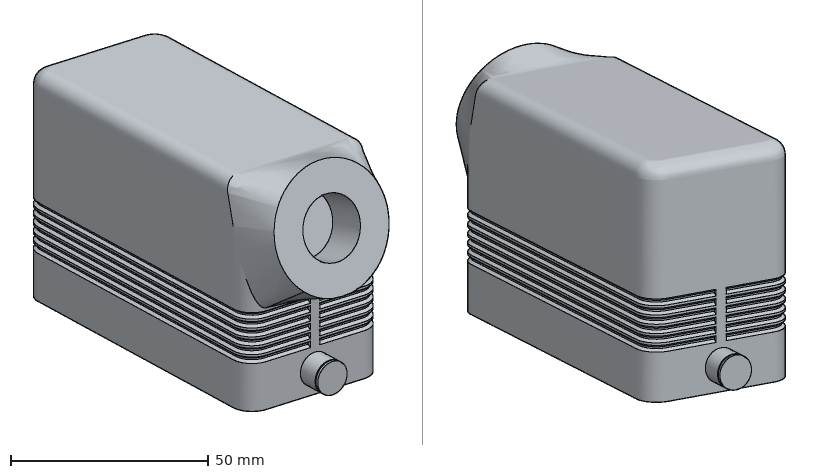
import cadquery as cq
import math

overall_length = 112.3
body_length = 93.6
body_width = 43.0
body_height = 63.0
corner_radius = 6.0
top_fillet = 4.0

neck_tilt = 15.0
neck_base_height = 28.3
neck_length = 12.0
neck_diameter = 35.9
bore_diameter = 18.0

groove_count = 6
groove_pitch = 2.5
groove_width = 1.8
groove_floor_width = 0.5
groove_depth = 0.9
lowest_groove_center = 14.3
strip_width = 3.0

pin_diameter = 9.3
pin_height = 7.1
far_pin_length = 7.3
pin_groove_offset = 0.8
pin_groove_width = 0.3
pin_core_diameter = 4.5

end_x = body_length / 2
side_y = body_width / 2
tilt = math.radians(neck_tilt)
neck_drop = body_height - neck_base_height
neck_base_center = (end_x - neck_drop * math.tan(tilt) / 2, 0, (body_height + neck_base_height) / 2)
neck_axis = (math.cos(tilt), 0, math.sin(tilt))
neck_reach = neck_length * math.cos(tilt) + neck_diameter / 2 * math.sin(tilt)
near_pin_length = overall_length - (neck_base_center[0] + neck_reach + end_x)


def slanted_plane(distance):
    """Plane square to the neck axis, at a distance beyond the slanted cut."""
    base = cq.Plane(origin=neck_base_center, xDir=(0, 1, 0), normal=neck_axis)
    return cq.Plane(origin=base.toWorldCoords((0, 0, distance)), xDir=(0, 1, 0), normal=neck_axis)


def make_body():
    """Rounded block with its upper +X corner cut off square to the neck axis."""
    block = (
        cq.Workplane("XY")
        .box(body_length, body_width, body_height, centered=(True, True, False))
        .edges("|Z").fillet(corner_radius)
        .faces(">Z").edges().fillet(top_fillet)
    )
    cutter = cq.Workplane(slanted_plane(0)).rect(body_length, body_length).extrude(body_length)
    return block.cut(cutter)


def make_neck(body):
    """Transition from the slanted section of the body to the round neck end."""
    section = body.faces(cq.selectors.NearestToPointSelector(neck_base_center)).wires().val()
    rim = cq.Workplane(slanted_plane(neck_length)).circle(neck_diameter / 2).wires().val()
    return cq.Workplane(cq.Solid.makeLoft([section, rim], True))


def make_bore():
    """Blind bore reaching from the neck end to the slanted section."""
    return cq.Workplane(slanted_plane(0)).circle(bore_diameter / 2).extrude(neck_length)


def make_groove(center_z):
    """Tapered cutter around the -Y half of the body, ending at the plain strips."""
    straight_x = end_x - corner_radius
    straight_y = side_y - corner_radius
    arc_x = straight_x + corner_radius * math.sqrt(0.5)
    arc_y = straight_y + corner_radius * math.sqrt(0.5)
    path = (
        cq.Workplane("XY", origin=(0, 0, center_z))
        .moveTo(-end_x, -strip_width / 2)
        .lineTo(-end_x, -straight_y)
        .threePointArc((-arc_x, -arc_y), (-straight_x, -side_y))
        .lineTo(straight_x, -side_y)
        .threePointArc((arc_x, -arc_y), (end_x, -straight_y))
        .lineTo(end_x, -strip_width / 2)
    )
    half_width = groove_width / 2
    half_floor = groove_floor_width / 2
    profile = cq.Workplane("XZ", origin=(-end_x, -strip_width / 2, center_z)).polyline(
        [(0, half_width), (groove_depth, half_floor), (groove_depth, -half_floor), (0, -half_width)]
    ).close()
    return profile.sweep(path)


def make_pin(length):
    """Pin along +X from the +X face, with a narrow groove just behind its tip."""
    tip_length = pin_groove_offset
    shank_length = length - tip_length - pin_groove_width
    return (
        cq.Workplane("YZ", origin=(end_x, 0, pin_height))
        .circle(pin_diameter / 2).extrude(shank_length)
        .faces(">X").workplane().circle(pin_core_diameter / 2).extrude(pin_groove_width)
        .faces(">X").workplane().circle(pin_diameter / 2).extrude(tip_length)
    )


body = make_body()
result = body.union(make_neck(body)).cut(make_bore())

for index in range(groove_count):
    groove = make_groove(lowest_groove_center + index * groove_pitch)
    result = result.cut(groove).cut(groove.mirror("XZ"))

result = result.union(make_pin(far_pin_length))
result = result.union(make_pin(near_pin_length).mirror("YZ"))